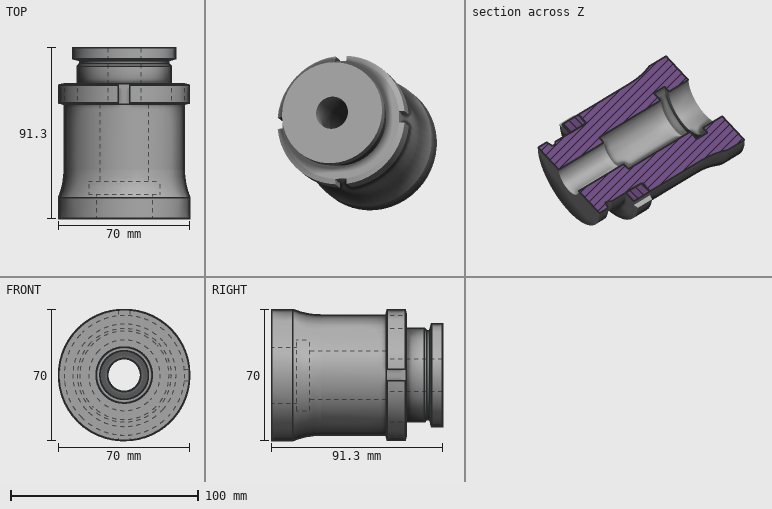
import cadquery as cq
import math

LENGTH = 91.3
OUTER_RADIUS = 35.0

BASE_LENGTH = 11.1
FLARE_END = 26.2
NECK_RADIUS = 32.0
SHOULDER_Y = 61.05
SPIGOT_RADIUS = 25.0
GROOVE_RADIUS = 23.7
GROOVE_WIDTH = 1.6
END_FLANGE_RADIUS = 27.5
END_FLANGE_RIM = 5.9
END_FLANGE_BEVEL = 1.0

MOUTH_RADIUS = 15.0
MOUTH_DEPTH = 13.05
RECESS_RADIUS = 19.0
RECESS_DEPTH = 20.0
STEP_RADIUS = 13.0
STEP_DEPTH = SHOULDER_Y
BORE_RADIUS = 8.8

NUT_WIDTH = 10.8
NUT_BEVEL_WIDTH = 0.6
NUT_FACE_RADIUS = 32.2
SLOT_COUNT = 4
SLOT_WIDTH = 6.2
SLOT_FLOOR_RADIUS = 32.0


def revolve_about_y(profile):
    return profile.close().revolve(360, (0, 0, 0), (0, 1, 0))


def flare_midpoint():
    """Point halfway along the arc that leaves the neck tangentially and reaches the base rim."""
    rise = OUTER_RADIUS - NECK_RADIUS
    run = FLARE_END - BASE_LENGTH
    arc_radius = (run**2 + rise**2) / (2 * rise)
    half_angle = math.asin(run / arc_radius) / 2
    return (
        NECK_RADIUS + arc_radius * (1 - math.cos(half_angle)),
        FLARE_END - arc_radius * math.sin(half_angle),
    )


def make_sleeve():
    bevel_start = LENGTH - END_FLANGE_RIM
    groove_rear = bevel_start - END_FLANGE_BEVEL
    groove_front = groove_rear - GROOVE_WIDTH
    spigot_bevel = SPIGOT_RADIUS - GROOVE_RADIUS
    profile = (
        cq.Workplane("XY")
        .moveTo(MOUTH_RADIUS, 0)
        .lineTo(OUTER_RADIUS, 0)
        .lineTo(OUTER_RADIUS, BASE_LENGTH)
        .threePointArc(flare_midpoint(), (NECK_RADIUS, FLARE_END))
        .lineTo(NECK_RADIUS, SHOULDER_Y)
        .lineTo(SPIGOT_RADIUS, SHOULDER_Y)
        .lineTo(SPIGOT_RADIUS, groove_front - spigot_bevel)
        .lineTo(GROOVE_RADIUS, groove_front)
        .lineTo(GROOVE_RADIUS, groove_rear)
        .lineTo(END_FLANGE_RADIUS, bevel_start)
        .lineTo(END_FLANGE_RADIUS, LENGTH)
        .lineTo(BORE_RADIUS, LENGTH)
        .lineTo(BORE_RADIUS, STEP_DEPTH)
        .lineTo(STEP_RADIUS, STEP_DEPTH)
        .lineTo(STEP_RADIUS, RECESS_DEPTH)
        .lineTo(RECESS_RADIUS, RECESS_DEPTH)
        .lineTo(RECESS_RADIUS, MOUTH_DEPTH)
        .lineTo(MOUTH_RADIUS, MOUTH_DEPTH)
    )
    return revolve_about_y(profile)


def make_nut():
    """Ring with beveled faces, fitted round the spigot against the sleeve's shoulder."""
    nut_rear = SHOULDER_Y + NUT_WIDTH
    profile = (
        cq.Workplane("XY")
        .moveTo(SPIGOT_RADIUS, SHOULDER_Y)
        .lineTo(NUT_FACE_RADIUS, SHOULDER_Y)
        .lineTo(OUTER_RADIUS, SHOULDER_Y + NUT_BEVEL_WIDTH)
        .lineTo(OUTER_RADIUS, nut_rear - NUT_BEVEL_WIDTH)
        .lineTo(NUT_FACE_RADIUS, nut_rear)
        .lineTo(SPIGOT_RADIUS, nut_rear)
    )
    nut = revolve_about_y(profile)

    cutter = cq.Workplane("XY").box(SLOT_WIDTH, NUT_WIDTH, SLOT_FLOOR_RADIUS, centered=(True, False, False))
    cutter = cutter.translate((0, SHOULDER_Y, SLOT_FLOOR_RADIUS))
    for index in range(SLOT_COUNT):
        nut = nut.cut(cutter.rotate((0, 0, 0), (0, 1, 0), index * 360 / SLOT_COUNT))
    return nut


sleeve = make_sleeve()
nut = make_nut()
result = cq.Compound.makeCompound([sleeve.val(), nut.val()])